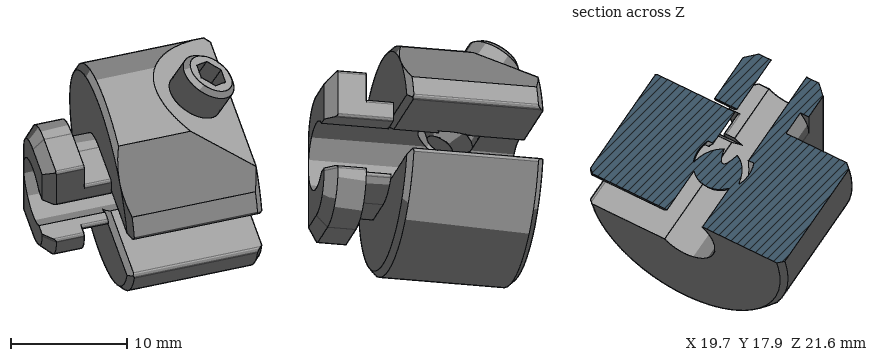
import cadquery as cq
import math

BODY_RADIUS = 10.0
BODY_LENGTH = 12.0
BODY_CHAMFER = 0.5
FLAT_DISTANCE = BODY_RADIUS - BODY_CHAMFER
FLAT_ANGLE = 45.0

SLOPE_ANGLE = 30.0
SLOPE_DROP = 4.0
SLOPE_LENGTH = SLOPE_DROP / math.tan(math.radians(SLOPE_ANGLE))

NECK_LENGTH = 2.4
NECK_HEIGHT = 8.0
HEAD_LENGTH = 3.5
HEAD_HEIGHT = 13.0
HEAD_WIDTH = 8.0
HEAD_CHAMFER = 1.0
TURN_RADIUS = HEAD_WIDTH / 2
TOTAL_LENGTH = BODY_LENGTH + NECK_LENGTH + HEAD_LENGTH

BORE_RADIUS = 3.0
SLOT_WIDTH = 4.5
SLOT_CHAMFER = 0.5
BODY_EDGE_FILLET = 0.3
HEAD_EDGE_FILLET = 0.24

SCREW_RADIUS = 2.5
SCREW_LENGTH = 10.0
SCREW_PROTRUSION = 2.96
SCREW_TOP_CHAMFER = 0.44
TIP_RADIUS = 1.25
TIP_CONE_LENGTH = SCREW_RADIUS - TIP_RADIUS
POINT_ANGLE = 120.0
HEX_ACROSS_FLATS = 2.5
HEX_DEPTH = 2.0


def cone_depth(radius):
    """Depth of a cone of the common point angle with the given base radius."""
    return radius / math.tan(math.radians(POINT_ANGLE / 2))


def section_at(y):
    """XZ workplane at the given Y; extruding by a positive length runs towards -Y."""
    return cq.Workplane("XZ", origin=(0, y, 0))


def make_outer_body():
    body = section_at(BODY_LENGTH).circle(BODY_RADIUS).extrude(BODY_LENGTH)
    body = body.edges("%CIRCLE").chamfer(BODY_CHAMFER)
    between_flats = (
        section_at(BODY_LENGTH)
        .rect(2 * FLAT_DISTANCE, 4 * BODY_RADIUS)
        .extrude(BODY_LENGTH)
        .rotate((0, 0, 0), (0, 1, 0), -FLAT_ANGLE)
    )
    return body.intersect(between_flats)


def cut_slope(body):
    wedge = (
        cq.Workplane("YZ")
        .moveTo(BODY_LENGTH - SLOPE_LENGTH, BODY_RADIUS)
        .lineTo(BODY_LENGTH, BODY_RADIUS)
        .lineTo(BODY_LENGTH, BODY_RADIUS - SLOPE_DROP)
        .close()
        .extrude(BODY_RADIUS, both=True)
    )
    return body.cut(wedge)


def turning_block(y_back, length, height):
    """Block with its upper-left and lower-right corners rounded and the other two square."""
    half_width = HEAD_WIDTH / 2
    half_height = height / 2
    block = section_at(y_back).rect(HEAD_WIDTH, height).extrude(length)
    for side in (-1, 1):
        corner = cq.selectors.NearestToPointSelector(
            (side * half_width, y_back - length / 2, -side * half_height)
        )
        block = block.edges(corner).fillet(TURN_RADIUS)
    return block


def cut_passage(solid):
    """Cut the bore and the slot through the whole length."""
    bore = section_at(BODY_LENGTH).circle(BORE_RADIUS).extrude(TOTAL_LENGTH)
    slot = (
        section_at(BODY_LENGTH)
        .center(BODY_RADIUS, 0)
        .rect(2 * BODY_RADIUS, SLOT_WIDTH)
        .extrude(TOTAL_LENGTH)
    )
    return solid.cut(bore).cut(slot)


def round_edges_along_y(solid, corners, y, radius):
    """Round the edges parallel to Y that lie nearest to the (x, z) corners at the given Y."""
    for x, z in corners:
        corner = cq.selectors.NearestToPointSelector((x, y, z))
        solid = solid.edges("|Y").edges(corner).fillet(radius)
    return solid


def cut_slot_chamfers(body):
    """Chamfer both slot edges on the front face of the body."""
    half_width = SLOT_WIDTH / 2
    flare = (
        cq.Workplane("YZ")
        .moveTo(0, half_width + SLOT_CHAMFER)
        .lineTo(SLOT_CHAMFER, half_width)
        .lineTo(SLOT_CHAMFER, -half_width)
        .lineTo(0, -half_width - SLOT_CHAMFER)
        .close()
        .extrude(BODY_RADIUS)
    )
    return body.cut(flare)


def make_body():
    body = cut_passage(cut_slope(make_outer_body()))
    half_width = SLOT_WIDTH / 2
    lip_x = math.sqrt(BODY_RADIUS**2 - half_width**2)
    lips = [(lip_x, half_width), (lip_x, -half_width)]
    body = round_edges_along_y(body, lips, BODY_LENGTH / 2, BODY_EDGE_FILLET)
    return cut_slot_chamfers(body)


def make_neck_or_head(y_back, length, height, front_chamfer=0):
    block = turning_block(y_back, length, height)
    if front_chamfer:
        block = block.faces("<Y").chamfer(front_chamfer)
    block = cut_passage(block)
    half_width = HEAD_WIDTH / 2
    corners = [
        (half_width, height / 2),
        (-half_width, -height / 2),
        (half_width, SLOT_WIDTH / 2),
        (half_width, -SLOT_WIDTH / 2),
    ]
    return round_edges_along_y(block, corners, y_back - length / 2, HEAD_EDGE_FILLET)


def screw_workplane():
    """Plane on the middle of the sloping face, its normal pointing out along the screw axis."""
    slope = math.radians(SLOPE_ANGLE)
    return cq.Workplane(
        cq.Plane(
            origin=(0, BODY_LENGTH - SLOPE_LENGTH / 2, BODY_RADIUS - SLOPE_DROP / 2),
            xDir=(1, 0, 0),
            normal=(0, math.sin(slope), math.cos(slope)),
        )
    )


def conical_point(base_offset, radius, direction):
    """Cone on the screw axis, its base at base_offset from the sloping face.

    It points outwards for direction 1 and inwards for direction -1.
    """
    base = screw_workplane().workplane(offset=base_offset).plane
    return cq.Workplane(
        cq.Solid.makeCone(radius, 0, cone_depth(radius), base.origin, base.zDir * direction)
    )


def make_screw_hole():
    return screw_workplane().circle(SCREW_RADIUS).extrude(SCREW_PROTRUSION - SCREW_LENGTH)


def make_screw():
    top = SCREW_PROTRUSION
    tip = top - SCREW_LENGTH
    screw = screw_workplane().workplane(offset=tip).circle(SCREW_RADIUS).extrude(SCREW_LENGTH)
    axis = screw_workplane().plane.zDir
    top_face = cq.selectors.DirectionMinMaxSelector(axis, True)
    tip_face = cq.selectors.DirectionMinMaxSelector(axis, False)
    screw = screw.faces(top_face).chamfer(SCREW_TOP_CHAMFER)
    screw = screw.faces(tip_face).chamfer(TIP_CONE_LENGTH)
    hexagon_diameter = HEX_ACROSS_FLATS / math.cos(math.pi / 6)
    socket = screw_workplane().workplane(offset=top).polygon(6, hexagon_diameter).extrude(-HEX_DEPTH)
    socket_floor = conical_point(top - HEX_DEPTH, HEX_ACROSS_FLATS / 2, -1)
    cup = conical_point(tip, TIP_RADIUS, 1)
    return screw.cut(socket).cut(socket_floor).cut(cup)


neck = make_neck_or_head(0, NECK_LENGTH, NECK_HEIGHT)
head = make_neck_or_head(-NECK_LENGTH, HEAD_LENGTH, HEAD_HEIGHT, HEAD_CHAMFER)
clamp = make_body().union(neck).union(head)
result = clamp.cut(make_screw_hole()).union(make_screw())